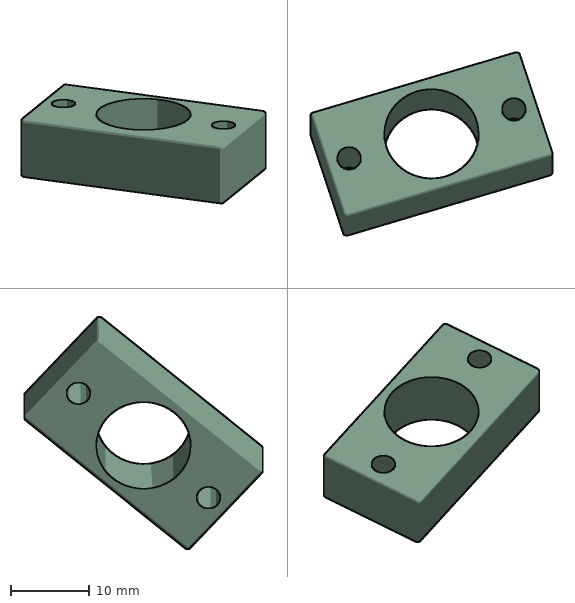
import cadquery as cq

length = 28.0
width = 14.8
height = 8.0
edge_radius = 0.5

bore_diameter = 12.0
screw_hole_diameter = 3.0
screw_hole_spacing = 22.0

block = cq.Workplane("XY").box(length, width, height).edges().fillet(edge_radius)

bored_block = block.faces(">Z").workplane(origin=(0, 0, 0)).hole(bore_diameter)

result = (
    bored_block.faces(">Z")
    .workplane(origin=(0, 0, 0))
    .pushPoints([(-screw_hole_spacing / 2, 0), (screw_hole_spacing / 2, 0)])
    .hole(screw_hole_diameter)
)